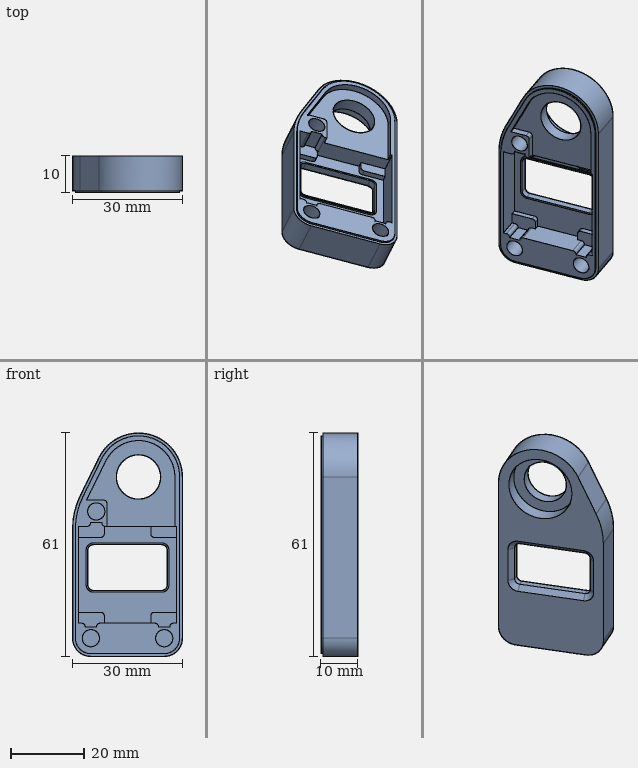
import cadquery as cq
import math


width = 30.0
height = 61.0
thickness = 10.0

crown_radius = 12.0
corner_radius = 5.0
shoulder_radius = 20.0
slope_angle = math.radians(26.2)
crown_x = width - crown_radius
crown_z = height - crown_radius
shoulder_rise = (
    shoulder_radius - crown_radius - (shoulder_radius - crown_x) * math.cos(slope_angle)
) / math.sin(slope_angle)
shoulder_z = crown_z - shoulder_rise

lip_inset = 0.8
lip_height = 0.5

upper_wall = 2.1
upper_depth = 1.95
upper_floor_level = thickness - upper_depth

lower_wall = 1.65
lower_bottom = 9.1
lower_top = 35.5
lower_floor_level = 3.0
lower_right = width - lower_wall

boss_right = 9.4
boss_top = 42.7
boss_corner_radius = 1.0

bore_diameter = 12.0
counterbore_diameter = 18.0
counterbore_depth = 4.45

window_width = 21.6
window_height = 12.45
window_corner_radius = 1.45
window_x = width / 2
window_z = 24.3
window_chamfer = 1.45
rim_width = 0.5
rim_height = 0.5

tab_length = 7.0
tab_width = 3.0
tab_height = 1.5
tab_level = lower_floor_level + tab_height
tab_corner_radius = 1.0

screw_diameter = 4.7
screw_depth = thickness - lower_floor_level
lower_screw_xs = [corner_radius, width - corner_radius]
lower_screw_z = corner_radius
upper_screw_x = 6.45
upper_screw_z = 39.6
notch_width = 3.05
notch_depth = 1.05
notch_round = 1.0


def plane_at(level):
    """Workplane parallel to the back face, extruding toward the front."""
    return cq.Workplane("XZ").workplane(offset=level)


def block(left, right, bottom, top, level, depth):
    """Rectangular block given by its X and Z limits."""
    return (
        plane_at(level)
        .center((left + right) / 2, (bottom + top) / 2)
        .rect(right - left, top - bottom)
        .extrude(depth)
    )


def cylinder(x, z, diameter, level, depth):
    return plane_at(level).center(x, z).circle(diameter / 2).extrude(depth)


def arc_point(x, z, radius, angle):
    """Point on a circle; the angle is counter-clockwise from +X."""
    return (x + radius * math.cos(angle), z + radius * math.sin(angle))


def outline_solid(inset, level, depth):
    """Outer outline, moved inward by the inset and extruded."""
    crown = crown_radius - inset
    corner = corner_radius - inset
    shoulder = shoulder_radius - inset
    slope_normal = math.pi - slope_angle
    left = inset
    right = width - inset
    bottom = inset
    right_corner_x = width - corner_radius
    return (
        plane_at(level)
        .moveTo(corner_radius, bottom)
        .lineTo(right_corner_x, bottom)
        .threePointArc(
            arc_point(right_corner_x, corner_radius, corner, -math.pi / 4),
            (right, corner_radius),
        )
        .lineTo(right, crown_z)
        .threePointArc(
            arc_point(crown_x, crown_z, crown, slope_normal / 2),
            arc_point(crown_x, crown_z, crown, slope_normal),
        )
        .lineTo(*arc_point(shoulder_radius, shoulder_z, shoulder, slope_normal))
        .threePointArc(
            arc_point(shoulder_radius, shoulder_z, shoulder, math.pi - slope_angle / 2),
            (left, shoulder_z),
        )
        .lineTo(left, corner_radius)
        .threePointArc(
            arc_point(corner_radius, corner_radius, corner, -3 * math.pi / 4),
            (corner_radius, bottom),
        )
        .close()
        .extrude(depth)
    )


def upper_pocket():
    """Pocket parallel to the outline, cut off at the lower pocket and around the screw boss."""
    above_lower_pocket = block(0, width, lower_top, height, upper_floor_level, upper_depth)
    boss = block(0, boss_right, 0, boss_top, upper_floor_level, upper_depth)
    boss = boss.edges("|Y and >X and >Z").fillet(boss_corner_radius)
    return outline_solid(upper_wall, upper_floor_level, upper_depth).intersect(above_lower_pocket).cut(boss)


def lower_pocket():
    return block(
        lower_wall, lower_right, lower_bottom, lower_top, lower_floor_level, thickness - lower_floor_level
    )


def notch(x, edge_z, outward):
    """Notch in a lower pocket wall with rounded mouth edges; outward is the Z sign away from the pocket."""
    half = notch_width / 2
    mouth_half = half + notch_round
    round_z = edge_z + outward * notch_round
    end_z = edge_z + outward * notch_depth
    diagonal = notch_round * math.sqrt(0.5)
    return (
        plane_at(tab_level)
        .moveTo(x - mouth_half, edge_z)
        .threePointArc((x - mouth_half + diagonal, round_z - outward * diagonal), (x - half, round_z))
        .lineTo(x - half, end_z)
        .lineTo(x + half, end_z)
        .lineTo(x + half, round_z)
        .threePointArc((x + mouth_half - diagonal, round_z - outward * diagonal), (x + mouth_half, edge_z))
        .close()
        .extrude(thickness - tab_level)
    )


def tab(on_left, on_bottom):
    """Corner tab of the lower pocket, rounded at its free corner."""
    left = lower_wall if on_left else lower_right - tab_length
    bottom = lower_bottom if on_bottom else lower_top - tab_width
    free_corner = "|Y and {}X and {}Z".format(">" if on_left else "<", ">" if on_bottom else "<")
    solid = block(left, left + tab_length, bottom, bottom + tab_width, lower_floor_level, tab_height)
    return solid.edges(free_corner).fillet(tab_corner_radius)


def window_solid(margin, level, depth):
    """Rounded window shape, grown by the margin on every side."""
    half_width = window_width / 2 + margin
    half_height = window_height / 2 + margin
    solid = block(
        window_x - half_width,
        window_x + half_width,
        window_z - half_height,
        window_z + half_height,
        level,
        depth,
    )
    return solid.edges("|Y").fillet(window_corner_radius + margin)


result = outline_solid(0, 0, thickness - lip_height)
result = result.union(outline_solid(lip_inset, thickness - lip_height, lip_height))

result = result.cut(upper_pocket()).cut(lower_pocket())
for screw_x in lower_screw_xs:
    result = result.cut(notch(screw_x, lower_bottom, -1))
result = result.cut(notch(upper_screw_x, lower_top, 1))

for on_left in (True, False):
    for on_bottom in (True, False):
        result = result.union(tab(on_left, on_bottom))

result = result.union(window_solid(rim_width, lower_floor_level, rim_height))
result = result.cut(window_solid(0, 0, thickness))
window_back_edges = cq.selectors.BoxSelector(
    (lower_wall, -window_chamfer / 2, lower_bottom),
    (lower_right, window_chamfer / 2, lower_top),
)
result = result.edges(window_back_edges).chamfer(window_chamfer)

result = result.cut(cylinder(crown_x, crown_z, bore_diameter, 0, thickness))
result = result.cut(cylinder(crown_x, crown_z, counterbore_diameter, 0, counterbore_depth))

screw_places = [(x, lower_screw_z) for x in lower_screw_xs] + [(upper_screw_x, upper_screw_z)]
for screw_x, screw_z in screw_places:
    result = result.cut(cylinder(screw_x, screw_z, screw_diameter, thickness - screw_depth, screw_depth))